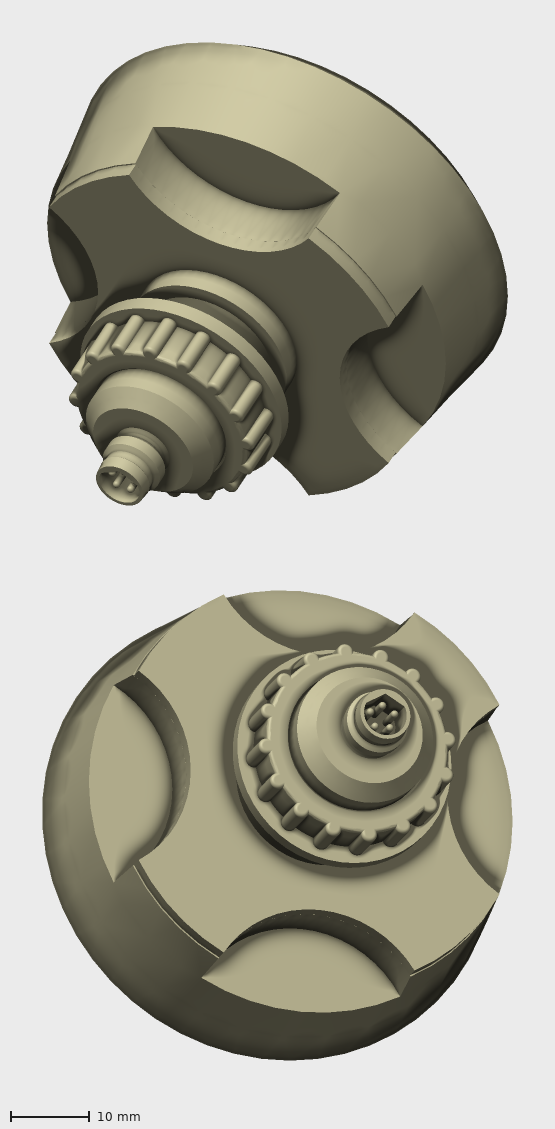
import cadquery as cq
import math


WHEEL_MAX_RADIUS = 30.0
WHEEL_CHAMFER = 3.0
WHEEL_FRONT_RADIUS = 27.2
WHEEL_LENGTH = 23.0
PLATE_RADIUS = 27.0
PLATE_THICKNESS = 2.05

SCALLOP_COUNT = 4
SCALLOP_RADIUS = 15.0
SCALLOP_CENTER_RADIUS = 32.0
SCALLOP_FLOOR_DEPTH = 17.0

COLLAR_RADIUS = 11.0
COLLAR_LENGTH = 3.0
BARREL_RADIUS = 9.0
STEM_LENGTH = 22.1
BARREL_CHAMFER = 2.0

NUT_BACK_DEPTH = 34.0
NUT_LENGTH = 8.05
NUT_FLANGE_RADIUS = 14.15
NUT_FLANGE_THICKNESS = 2.05
NUT_RADIUS = 12.0
NUT_EDGE_ROUND = 0.5
NUT_BORE_CHAMFER = 0.3
RIB_COUNT = 16
RIB_TIP_RADIUS = 13.15
RIB_WIDTH = 2.1
RIB_RADIAL_LENGTH = 3.25
RIB_START_ANGLE = 7.5

SHELL_LENGTH = 6.9
SHELL_NECK_RADIUS = 3.3
SHELL_FOOT_CHAMFER = 0.5
SHELL_BAND_RADIUS = 4.0
BAND_REAR_CONE_START = 1.0
BAND_START = 1.85
BAND_END = 3.4
BAND_FRONT_CONE_END = 3.95
TIP_RING_RADIUS = 3.5
TIP_RING_STEP = 5.1
TIP_RING_START = 5.3
BORE_RADIUS = 2.8
BORE_DEPTH = 5.0
BORE_ROOF_HEIGHT = 2.7
BORE_ROOF_SLOPE = 30.0

PIN_COUNT = 5
PIN_RADIUS = 0.5
PIN_LENGTH = 4.2
PIN_CIRCLE_RADIUS = 1.7
TOP_PIN_HEIGHT = 1.5

PLATE_FRONT_DEPTH = WHEEL_LENGTH + PLATE_THICKNESS
STEM_FRONT_DEPTH = PLATE_FRONT_DEPTH + STEM_LENGTH
NUT_FRONT_DEPTH = NUT_BACK_DEPTH + NUT_LENGTH
TIP_DEPTH = STEM_FRONT_DEPTH + SHELL_LENGTH
BORE_FLOOR_DEPTH = TIP_DEPTH - BORE_DEPTH


def plane_at(depth):
    """Sketch plane at a depth; sketch x is X, sketch y is Z, extrusion runs toward the tip."""
    return cq.Workplane("XZ", origin=(0, -depth, 0))


def turned(profile):
    """Revolve a closed (radius, depth) outline about the Y axis."""
    points = [(radius, -depth) for radius, depth in profile]
    return cq.Workplane("XY").polyline(points).close().revolve(360, (0, 0, 0), (0, 1, 0))


def scallop_cutter():
    """Four cylinders that bite into the rim from the scallop floor forward."""
    return (
        plane_at(SCALLOP_FLOOR_DEPTH)
        .polarArray(SCALLOP_CENTER_RADIUS, 0, 360, SCALLOP_COUNT)
        .circle(SCALLOP_RADIUS)
        .extrude(PLATE_FRONT_DEPTH - SCALLOP_FLOOR_DEPTH)
    )


def make_hand_wheel():
    wheel = turned([
        (0, 0),
        (WHEEL_MAX_RADIUS - WHEEL_CHAMFER, 0),
        (WHEEL_MAX_RADIUS, WHEEL_CHAMFER),
        (WHEEL_FRONT_RADIUS, WHEEL_LENGTH),
        (0, WHEEL_LENGTH),
    ])
    return wheel.cut(scallop_cutter())


def make_cover_plate():
    plate = plane_at(WHEEL_LENGTH).circle(PLATE_RADIUS).extrude(PLATE_THICKNESS)
    return plate.cut(scallop_cutter())


def make_stem():
    collar_front = PLATE_FRONT_DEPTH + COLLAR_LENGTH
    return turned([
        (0, PLATE_FRONT_DEPTH),
        (COLLAR_RADIUS, PLATE_FRONT_DEPTH),
        (COLLAR_RADIUS, collar_front),
        (BARREL_RADIUS, collar_front),
        (BARREL_RADIUS, STEM_FRONT_DEPTH - BARREL_CHAMFER),
        (BARREL_RADIUS - BARREL_CHAMFER, STEM_FRONT_DEPTH),
        (0, STEM_FRONT_DEPTH),
    ])


def make_nut():
    """Flanged nut whose grip carries round-nosed ribs rooted inside its core."""
    ribs = (
        plane_at(NUT_BACK_DEPTH)
        .polarArray(RIB_TIP_RADIUS - RIB_RADIAL_LENGTH / 2, RIB_START_ANGLE, 360, RIB_COUNT)
        .slot2D(RIB_RADIAL_LENGTH, RIB_WIDTH)
        .extrude(NUT_LENGTH)
        .faces("<Y")
        .edges()
        .fillet(NUT_EDGE_ROUND)
    )
    core = plane_at(NUT_BACK_DEPTH).circle(NUT_RADIUS).extrude(NUT_LENGTH)
    core = core.faces("<Y").edges().fillet(NUT_EDGE_ROUND)
    grip = core.union(ribs)
    flange = plane_at(NUT_BACK_DEPTH).circle(NUT_FLANGE_RADIUS).extrude(NUT_FLANGE_THICKNESS)
    bore = turned([
        (0, NUT_BACK_DEPTH),
        (BARREL_RADIUS, NUT_BACK_DEPTH),
        (BARREL_RADIUS, NUT_FRONT_DEPTH - NUT_BORE_CHAMFER),
        (BARREL_RADIUS + NUT_BORE_CHAMFER, NUT_FRONT_DEPTH),
        (0, NUT_FRONT_DEPTH),
    ])
    return grip.union(flange).cut(bore)


def make_connector_shell():
    shell = turned([
        (0, STEM_FRONT_DEPTH),
        (SHELL_NECK_RADIUS + SHELL_FOOT_CHAMFER, STEM_FRONT_DEPTH),
        (SHELL_NECK_RADIUS, STEM_FRONT_DEPTH + SHELL_FOOT_CHAMFER),
        (SHELL_NECK_RADIUS, STEM_FRONT_DEPTH + BAND_REAR_CONE_START),
        (SHELL_BAND_RADIUS, STEM_FRONT_DEPTH + BAND_START),
        (SHELL_BAND_RADIUS, STEM_FRONT_DEPTH + BAND_END),
        (SHELL_NECK_RADIUS, STEM_FRONT_DEPTH + BAND_FRONT_CONE_END),
        (SHELL_NECK_RADIUS, STEM_FRONT_DEPTH + TIP_RING_STEP),
        (TIP_RING_RADIUS, STEM_FRONT_DEPTH + TIP_RING_START),
        (SHELL_NECK_RADIUS, TIP_DEPTH),
        (0, TIP_DEPTH),
    ])
    return shell.cut(keyed_bore())


def keyed_bore():
    """Round bore whose top is closed by a shallow pointed roof that keys the plug."""
    roof_drop = BORE_RADIUS * math.tan(math.radians(BORE_ROOF_SLOPE))
    eave_height = BORE_ROOF_HEIGHT - roof_drop
    below_roof = (
        plane_at(BORE_FLOOR_DEPTH)
        .moveTo(0, BORE_ROOF_HEIGHT)
        .lineTo(BORE_RADIUS, eave_height)
        .lineTo(BORE_RADIUS, -BORE_RADIUS)
        .lineTo(-BORE_RADIUS, -BORE_RADIUS)
        .lineTo(-BORE_RADIUS, eave_height)
        .close()
        .extrude(BORE_DEPTH)
    )
    return plane_at(BORE_FLOOR_DEPTH).circle(BORE_RADIUS).extrude(BORE_DEPTH).intersect(below_roof)


def make_pin(x, z):
    """Round-ended contact pin standing on the bore floor."""
    shank_length = PIN_LENGTH - PIN_RADIUS
    shank = plane_at(BORE_FLOOR_DEPTH).center(x, z).circle(PIN_RADIUS).extrude(shank_length)
    dome = cq.Workplane("XY", origin=(x, -BORE_FLOOR_DEPTH - shank_length, z)).sphere(PIN_RADIUS)
    return shank.union(dome)


def make_pins():
    """The top pin sits slightly inside the circle that the other pins share."""
    pins = []
    for index in range(PIN_COUNT):
        angle = math.radians(90 + index * 360 / PIN_COUNT)
        distance = TOP_PIN_HEIGHT if index == 0 else PIN_CIRCLE_RADIUS
        pins.append(make_pin(distance * math.cos(angle), distance * math.sin(angle)))
    return pins


hand_wheel = make_hand_wheel()
cover_plate = make_cover_plate()
stem = make_stem()
nut = make_nut()
connector_shell = make_connector_shell()
pins = make_pins()

result = cq.Compound.makeCompound([
    hand_wheel.val(),
    cover_plate.val(),
    stem.val(),
    nut.val(),
    connector_shell.val(),
    *[pin.val() for pin in pins],
])